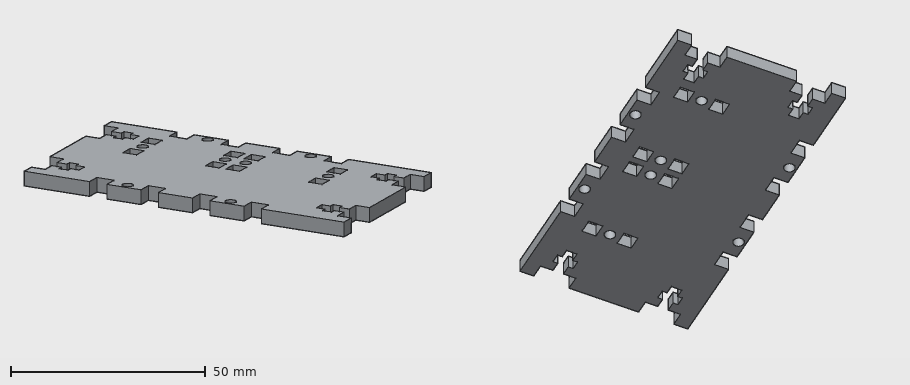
import cadquery as cq

length = 93.0
width = 48.0
thickness = 4.0

tab_depth = thickness
row_center_x = -2.5

side_notch_width = 5.0
side_notch_pitch = 15.0
side_notch_count = 4

end_notch_width = 10.0
end_notch_y = 15.0
bolt_slot_width = 3.0
bolt_slot_reach = 12.0
nut_slot_width = 2.6
nut_slot_length = 5.8
nut_slot_inset = 8.2

socket_size = tab_depth
socket_row_y = 8.9
socket_spacing = 10.0
inner_group_offset = 3.0
outer_group_offset = 27.0
group_offsets = (-outer_group_offset, -inner_group_offset, inner_group_offset, outer_group_offset)
group_xs = [row_center_x + offset for offset in group_offsets]

screw_diameter = 3.0


def through_boxes(size_x, size_y, centers):
    """Rectangular cutters running through the full plate thickness."""
    return cq.Workplane("XY").pushPoints(centers).rect(size_x, size_y).extrude(thickness)


def side_notches():
    first_x = row_center_x - side_notch_pitch * (side_notch_count - 1) / 2
    y = (width - tab_depth) / 2
    centers = [
        (first_x + i * side_notch_pitch, side * y)
        for i in range(side_notch_count)
        for side in (-1, 1)
    ]
    return through_boxes(side_notch_width, tab_depth, centers)


def corner_slot(end, side):
    """End notch with a T-slot for a bolt and its captive nut."""
    y = side * end_notch_y
    notch_x = end * (length - tab_depth) / 2
    bolt_x = end * (length - bolt_slot_reach) / 2
    nut_x = end * (length / 2 - nut_slot_inset)
    notch = through_boxes(tab_depth, end_notch_width, [(notch_x, y)])
    bolt_slot = through_boxes(bolt_slot_reach, bolt_slot_width, [(bolt_x, y)])
    nut_slot = through_boxes(nut_slot_width, nut_slot_length, [(nut_x, y)])
    return notch.union(bolt_slot).union(nut_slot)


def square_sockets():
    centers = [
        (x, socket_row_y + side * socket_spacing / 2)
        for x in group_xs
        for side in (-1, 1)
    ]
    return through_boxes(socket_size, socket_size, centers)


def screw_holes():
    group_holes = [(x, socket_row_y) for x in group_xs]
    tab_holes = [
        (row_center_x + end * side_notch_pitch, side * (width - tab_depth) / 2)
        for end in (-1, 1)
        for side in (-1, 1)
    ]
    centers = group_holes + tab_holes
    return cq.Workplane("XY").pushPoints(centers).circle(screw_diameter / 2).extrude(thickness)


result = cq.Workplane("XY").rect(length, width).extrude(thickness)
result = result.cut(side_notches())
for end in (-1, 1):
    for side in (-1, 1):
        result = result.cut(corner_slot(end, side))
result = result.cut(square_sockets())
result = result.cut(screw_holes())